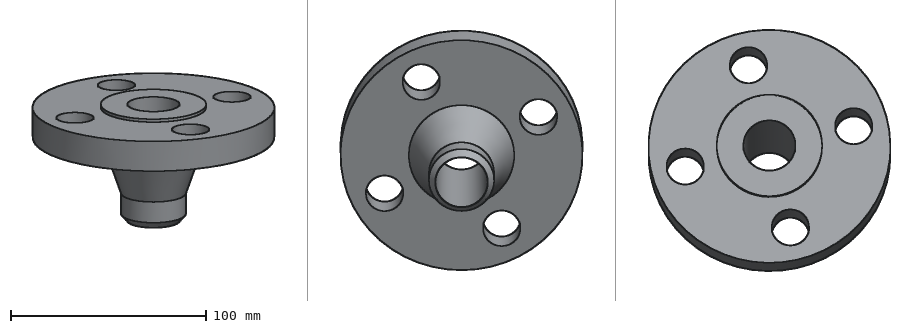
import cadquery as cq

total_height = 62.04
flange_diameter = 124.0
flange_thickness = 15.88
raised_face_diameter = 54.0
raised_face_height = 1.6

hub_diameter = 54.0
pipe_diameter = 33.4
cone_height = 29.8
bevel_height = 3.7
bevel_width = 3.2

bore_diameter = 26.7
bolt_circle_diameter = 88.9
bolt_hole_diameter = 19.1
bolt_count = 4
first_bolt_angle = 45.0

flange_top = total_height - raised_face_height
flange_bottom = flange_top - flange_thickness
cone_bottom = flange_bottom - cone_height


def revolved_body():
    """Solid of revolution about Z, from the welding end up to the raised face."""
    pipe_radius = pipe_diameter / 2
    profile = [
        (0, 0),
        (pipe_radius - bevel_width, 0),
        (pipe_radius, bevel_height),
        (pipe_radius, cone_bottom),
        (hub_diameter / 2, flange_bottom),
        (flange_diameter / 2, flange_bottom),
        (flange_diameter / 2, flange_top),
        (raised_face_diameter / 2, flange_top),
        (raised_face_diameter / 2, total_height),
        (0, total_height),
    ]
    return cq.Workplane("XZ").polyline(profile).close().revolve(360, (0, 0), (0, 1))


def center_bore():
    """Straight bore through the full height."""
    return cq.Workplane("XY").circle(bore_diameter / 2).extrude(total_height)


def bolt_holes():
    """Evenly spaced through holes on the bolt circle."""
    return (
        cq.Workplane("XY", origin=(0, 0, flange_bottom))
        .polarArray(bolt_circle_diameter / 2, first_bolt_angle, 360, bolt_count)
        .circle(bolt_hole_diameter / 2)
        .extrude(flange_thickness)
    )


result = revolved_body().cut(center_bore()).cut(bolt_holes())